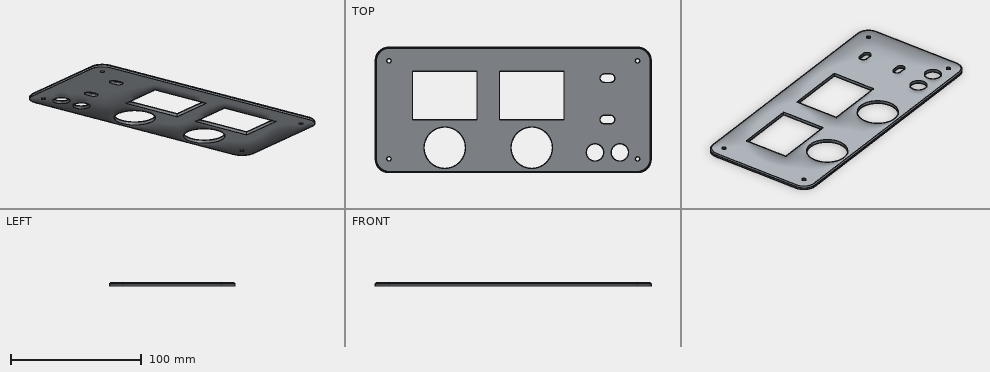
import cadquery as cq

length = 211.0
width = 96.0
thickness = 2.5
corner_radius = 10.5
edge_chamfer = 1.0

screw_diameter = 3.2
screw_inset = 10.5

column_x = (-52.3, 14.1)
window_length = 49.0
window_width = 37.0
window_y = 11.0
gauge_diameter = 31.5
gauge_y = -29.0

slot_length = 11.2
slot_width = 6.3
slot_x = 72.0
slot_y = (24.3, -7.4)

socket_diameter = 13.0
socket_spacing = 19.0
socket_y = -32.5


def cut_through(plate, cutter_sketch):
    """Remove a sketched outline through the full plate thickness."""
    return plate.cut(cutter_sketch.extrude(thickness))


plate = (
    cq.Workplane("XY")
    .box(length, width, thickness, centered=(True, True, False))
    .edges("|Z")
    .fillet(corner_radius)
    .faces(">Z")
    .edges()
    .chamfer(edge_chamfer)
)

screw_holes = (
    cq.Workplane("XY")
    .rect(length - 2 * screw_inset, width - 2 * screw_inset, forConstruction=True)
    .vertices()
    .circle(screw_diameter / 2)
)
plate = cut_through(plate, screw_holes)

windows = cq.Workplane("XY").pushPoints([(x, window_y) for x in column_x]).rect(window_length, window_width)
plate = cut_through(plate, windows)

gauges = cq.Workplane("XY").pushPoints([(x, gauge_y) for x in column_x]).circle(gauge_diameter / 2)
plate = cut_through(plate, gauges)

slots = cq.Workplane("XY").pushPoints([(slot_x, y) for y in slot_y]).slot2D(slot_length, slot_width)
plate = cut_through(plate, slots)

socket_x = [slot_x + side * socket_spacing / 2 for side in (-1, 1)]
sockets = cq.Workplane("XY").pushPoints([(x, socket_y) for x in socket_x]).circle(socket_diameter / 2)
plate = cut_through(plate, sockets)

result = plate